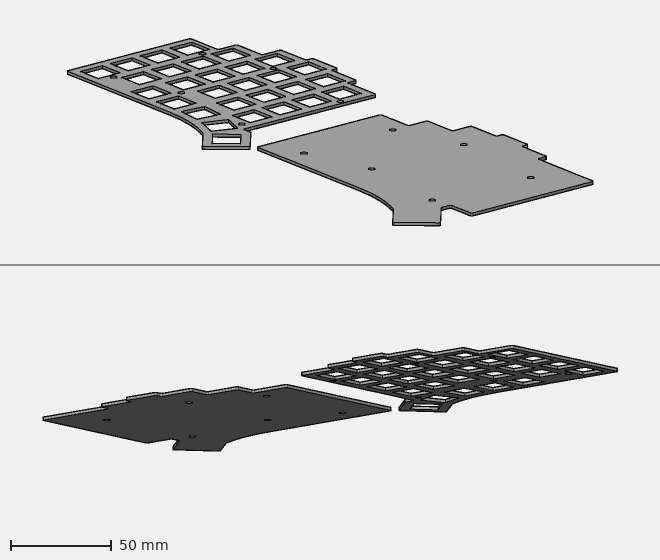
import cadquery as cq
import math

total_length = 297.5
total_depth = 127.5
thickness = 1.6

key_size = 14.0
key_pitch = 19.0
keys_per_column = 4
last_column_x = 112.0
edge_margin = 12.0
first_column_x = edge_margin
bottom_row_y = edge_margin
column_start_y = [bottom_row_y, 22.0, 34.0, 38.0, 34.0, 28.0]
bottom_row_columns = [2, 3]
outer_column_top_margin = 10.0
right_margin = 12.8

inner_tilted_key = (92.0, 11.3, -5)
middle_tilted_key = (112.8, 6.5, -20)

thumb_tilt = -40
thumb_half_width = 12.0
thumb_x = 131.0
arm_root = 9.0
arc_start_x = 81.8

switch_notch_y = 12.0
base_right_x = 146.0
base_notch_y = 18.7
base_notch_x = 129.7

corner_radius = 1.0

screw_diameter = 3.3
screw_points = [(22.0, 69.0), (22.0, 12.2), (62.0, 82.0), (62.0, 23.2), (122.0, 76.2), (118.0, 16.5)]

thumb_angle = math.radians(thumb_tilt)
thumb_cos = math.cos(thumb_angle)
thumb_sin = math.sin(thumb_angle)
column_pitch = (last_column_x - first_column_x) / (len(column_start_y) - 1)
column_x = [first_column_x + i * column_pitch for i in range(len(column_start_y))]
step_x = [x + column_pitch / 2 for x in column_x[:-1]]
column_span = (keys_per_column - 1) * key_pitch
column_top = [y + column_span + edge_margin for y in column_start_y]
column_top[0] = column_start_y[0] + column_span + outer_column_top_margin
switch_right_x = column_x[-1] + right_margin
thumb_reach = (thumb_half_width - corner_radius) * (thumb_cos - thumb_sin) + corner_radius
thumb_y = max(column_top) - total_depth + thumb_reach
plate_length = thumb_x + thumb_reach
base_offset = total_length - plate_length


def thumb_point(along, across):
    """Point of the thumb arm, given along and across the arm from its key centre."""
    x = thumb_x + along * thumb_cos - across * thumb_sin
    y = thumb_y + along * thumb_sin + across * thumb_cos
    return (x, y)


def arm_edge_at_x(x):
    """Point of the arm's upper edge at a given x."""
    along = (x - thumb_x + thumb_half_width * thumb_sin) / thumb_cos
    return thumb_point(along, thumb_half_width)


def arm_edge_at_y(y):
    """Point of the arm's upper edge at a given y."""
    along = (y - thumb_y - thumb_half_width * thumb_cos) / thumb_sin
    return thumb_point(along, thumb_half_width)


def plate_blank(right_side):
    """Plate with a stepped top edge, the given right side, and a curved thumb arm."""
    steps = [(0, column_top[0])]
    for i, x in enumerate(step_x):
        steps.append((x, column_top[i]))
        steps.append((x, column_top[i + 1]))
    arm_end = [
        thumb_point(thumb_half_width, thumb_half_width),
        thumb_point(thumb_half_width, -thumb_half_width),
        thumb_point(-arm_root, -thumb_half_width),
    ]
    outline = cq.Workplane("XY").polyline([(arc_start_x, 0), (0, 0)] + steps + right_side + arm_end)
    arc_end_x, arc_end_y = arm_end[-1]
    bend_radius = ((arc_end_x - arc_start_x) ** 2 + arc_end_y ** 2) / (-2 * arc_end_y)
    half_bend = math.atan2(-arc_end_y, arc_end_x - arc_start_x)
    arc_middle = (
        arc_start_x + bend_radius * math.sin(half_bend),
        bend_radius * (math.cos(half_bend) - 1),
    )
    outline = outline.threePointArc(arc_middle, (arc_start_x, 0)).close()
    return outline.extrude(thickness).edges("|Z").fillet(corner_radius)


def cut_screw_holes(plate):
    holes = cq.Workplane("XY").pushPoints(screw_points).circle(screw_diameter / 2).extrude(thickness)
    return plate.cut(holes)


def key_cutout(x, y, tilt=0):
    cutout = cq.Workplane("XY").rect(key_size, key_size).extrude(thickness)
    return cutout.rotate((0, 0, 0), (0, 0, 1), tilt).translate((x, y, 0))


def make_switch_plate():
    right_side = [
        (switch_right_x, column_top[-1]),
        (switch_right_x, switch_notch_y),
        arm_edge_at_y(switch_notch_y),
    ]
    plate = cut_screw_holes(plate_blank(right_side))
    for x, start_y in zip(column_x, column_start_y):
        for row in range(keys_per_column):
            plate = plate.cut(key_cutout(x, start_y + row * key_pitch))
    for column in bottom_row_columns:
        plate = plate.cut(key_cutout(column_x[column], bottom_row_y))
    for x, y, tilt in [inner_tilted_key, middle_tilted_key, (thumb_x, thumb_y, thumb_tilt)]:
        plate = plate.cut(key_cutout(x, y, tilt))
    return plate


def make_base_plate():
    right_side = [
        (base_right_x, column_top[-1]),
        (base_right_x, base_notch_y),
        (base_notch_x, base_notch_y),
        arm_edge_at_x(base_notch_x),
    ]
    plate = cut_screw_holes(plate_blank(right_side))
    return plate.translate((base_offset, 0, 0))


switch_plate = make_switch_plate()
base_plate = make_base_plate()
result = cq.Compound.makeCompound([switch_plate.val(), base_plate.val()])